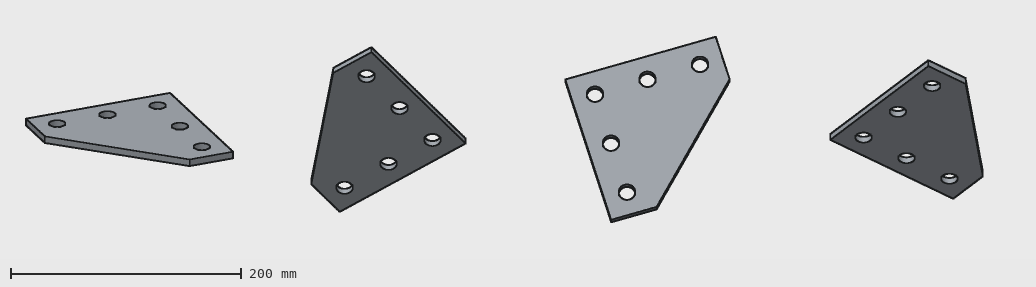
import cadquery as cq

side = 136.5
thickness = 6.4
end_width = 41.2
hole_diameter = 14.3
hole_pitch = 47.6
edge_distance = end_width / 2


def corner_plate():
    """Square plate with one corner cut off, leaving two equal arms."""
    outline = [
        (0, 0),
        (end_width, 0),
        (side, side - end_width),
        (side, side),
        (0, side),
    ]
    return cq.Workplane("XY").polyline(outline).close().extrude(thickness)


def bolt_holes():
    """Through holes: one at the shared corner and two more along each arm."""
    corner_x = edge_distance
    corner_y = side - edge_distance
    centres = [(corner_x, corner_y)]
    for step in (1, 2):
        offset = step * hole_pitch
        centres.append((corner_x + offset, corner_y))
        centres.append((corner_x, corner_y - offset))
    return cq.Workplane("XY").pushPoints(centres).circle(hole_diameter / 2).extrude(thickness)


result = corner_plate().cut(bolt_holes())